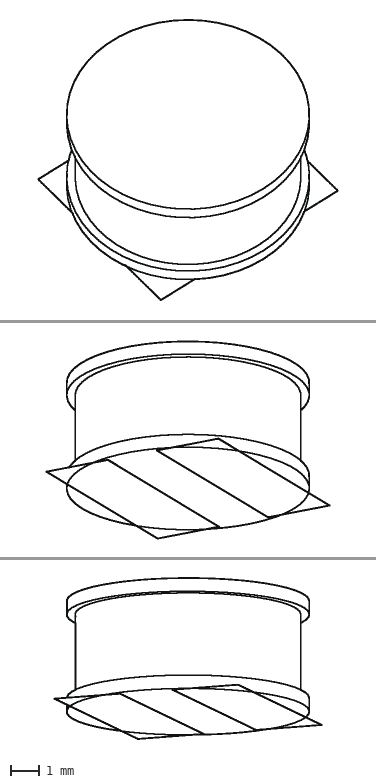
import cadquery as cq

flange_diameter = 8.6
barrel_diameter = 8.0
total_height = 4.0
flange_thickness = 0.48

pad_span_x = 7.0
pad_span_y = barrel_diameter
pad_width = 2.5
pad_thickness = 0.01


def make_pad(side):
    """Terminal strip along Y; side is -1 or +1 and selects the -X or +X strip."""
    center_x = side * (pad_span_x - pad_width) / 2
    return (
        cq.Workplane("XY")
        .center(center_x, 0)
        .rect(pad_width, pad_span_y)
        .extrude(pad_thickness)
    )


def make_core():
    """Spool with a round flange at each end, standing on the pads."""
    barrel_height = total_height - pad_thickness - 2 * flange_thickness
    return (
        cq.Workplane("XY", origin=(0, 0, pad_thickness))
        .circle(flange_diameter / 2)
        .extrude(flange_thickness)
        .faces(">Z")
        .workplane()
        .circle(barrel_diameter / 2)
        .extrude(barrel_height)
        .faces(">Z")
        .workplane()
        .circle(flange_diameter / 2)
        .extrude(flange_thickness)
    )


core = make_core()
pads = [make_pad(side) for side in (-1, 1)]

result = cq.Compound.makeCompound([core.val(), *[pad.val() for pad in pads]])